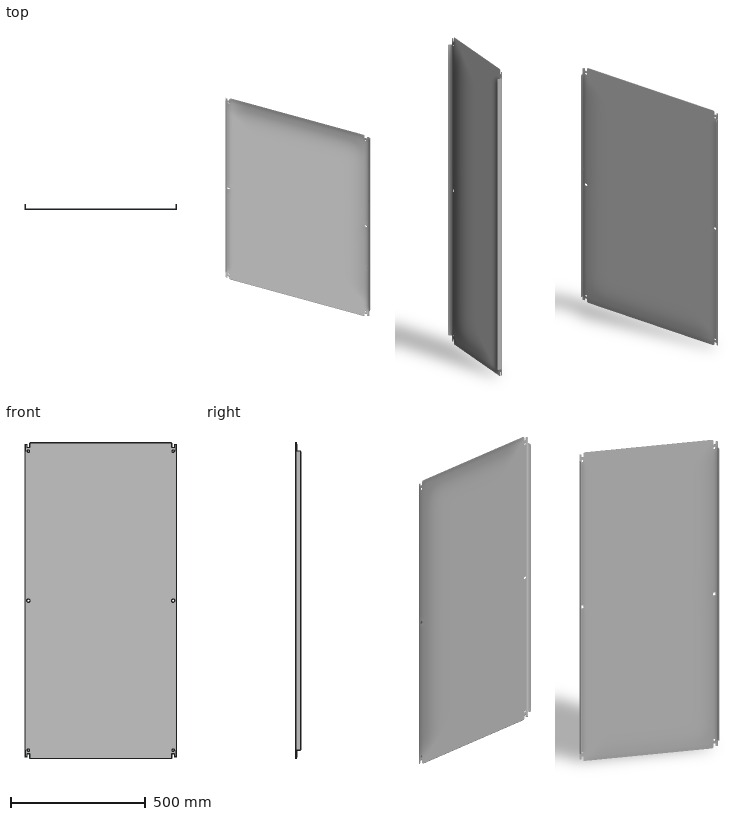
import cadquery as cq

width = 563.0
depth = 19.0
height = 1173.0

thickness = 2.0
inner_radius = 2.0
outer_radius = thickness + inner_radius

bend_inset = 7.0
flange_inset = 30.0
flange_corner_radius = 5.0

tab_width = 8.0
notch_reach = 18.0
notch_depth = 18.0
panel_corner_radius = 5.0

hole_inset = 13.0
corner_hole_diameter = 8.0
corner_hole_end_distance = 32.0
middle_hole_diameter = 12.0

half_width = width / 2
half_height = height / 2


def box_between(x_range, y_range, z_range):
    """Axis-aligned box spanning the given ranges."""
    size = [high - low for low, high in (x_range, y_range, z_range)]
    corner = (x_range[0], y_range[0], z_range[0])
    return cq.Workplane("XY").box(*size, centered=False).translate(corner)


def make_channel():
    """U-shaped sheet with rounded bends, extruded to the full height."""
    outer = cq.Workplane("XY").rect(width, 2 * depth).extrude(height)
    outer = outer.edges("|Z").fillet(outer_radius)
    inner = cq.Workplane("XY").rect(width - 2 * thickness, 2 * (depth - thickness)).extrude(height)
    inner = inner.edges("|Z").fillet(inner_radius)
    front_half = box_between((-half_width, half_width), (-depth, 0), (0, height))
    channel = outer.cut(inner).intersect(front_half)
    return channel.translate((0, depth, -half_height))


def make_flange_envelope():
    """Region kept beyond the bends: shortened flanges with rounded free corners."""
    flange_height = height - 2 * flange_inset
    envelope = box_between(
        (-half_width, half_width),
        (outer_radius, depth),
        (-flange_height / 2, flange_height / 2),
    )
    return envelope.edges("|X and >Y").fillet(flange_corner_radius)


def make_panel_envelope():
    """Region kept for the panel and bends, with the four corners notched."""
    panel_half_width = half_width - notch_reach
    panel = box_between(
        (-panel_half_width, panel_half_width), (0, outer_radius), (-half_height, half_height)
    )
    panel = panel.edges("|Y").fillet(panel_corner_radius)
    body_top = half_height - notch_depth
    panel = panel.union(
        box_between((-half_width, half_width), (0, outer_radius), (-body_top, body_top))
    )
    tab_top = half_height - bend_inset
    for tab_start in (-half_width, half_width - tab_width):
        panel = panel.union(
            box_between((tab_start, tab_start + tab_width), (0, outer_radius), (-tab_top, tab_top))
        )
    return panel


def make_holes():
    """Cutters for the corner holes and the larger holes at mid height."""
    hole_x = half_width - hole_inset
    corner_z = half_height - corner_hole_end_distance
    corner_points = [(x, z) for x in (-hole_x, hole_x) for z in (-corner_z, corner_z)]
    middle_points = [(-hole_x, 0), (hole_x, 0)]
    corners = cq.Workplane("XZ").pushPoints(corner_points).circle(corner_hole_diameter / 2)
    middles = cq.Workplane("XZ").pushPoints(middle_points).circle(middle_hole_diameter / 2)
    return corners.extrude(-thickness).union(middles.extrude(-thickness))


envelope = make_panel_envelope().union(make_flange_envelope())
part = make_channel().intersect(envelope).cut(make_holes())
result = part.translate((0, -depth / 2, 0))